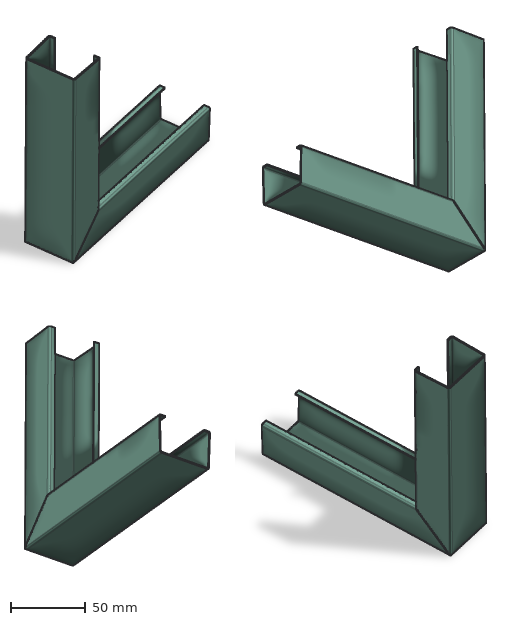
import cadquery as cq
import math

arm_length = 160.1
channel_depth = 29.7
open_width = 42.1
base_width = 40.3
sheet = 1.0
bend_radius = 1.6
lip_length = 5.0
corner_radius = 1.6
seam_gap = 0.5
tilt = 0.46


def channel_block(inset):
    """Solid trapezoid bar along +Y, moved in from the outer skin by inset."""
    section = (
        cq.Workplane("XZ")
        .polyline([
            (-base_width / 2, 0),
            (base_width / 2, 0),
            (open_width / 2, channel_depth),
            (-open_width / 2, channel_depth),
        ])
        .close()
    )
    if inset > 0:
        section = section.offset2D(-inset)
    return section.extrude(-arm_length).edges("|Y").fillet(bend_radius - inset)


def half_region():
    """Everything on the horizontal arm's side of the mitre plane y = z."""
    return (
        cq.Workplane("YZ")
        .polyline([
            (0, 0),
            (arm_length, 0),
            (arm_length, channel_depth),
            (channel_depth, channel_depth),
        ])
        .close()
        .extrude(open_width, both=True)
    )


def outer_half():
    return channel_block(0).intersect(half_region())


def inner_half():
    return channel_block(sheet).intersect(half_region())


def swap_y_and_z(body):
    """Mirror a body across the mitre plane."""
    return body.rotate((0, 0, 0), (1, 0, 0), 90).mirror("XZ")


def both_arms(half):
    return half.union(swap_y_and_z(half))


def lip_opening():
    """Slot between the two lips, along the horizontal arm."""
    slot_width = open_width - 2 * lip_length
    slot_bottom = channel_depth / 2
    return (
        cq.Workplane("XY", origin=(0, slot_bottom, slot_bottom))
        .rect(slot_width, 2 * arm_length)
        .extrude(channel_depth)
        .intersect(half_region())
    )


def seam():
    """Narrow diagonal slit through both side walls, between the bends."""
    middle = channel_depth / 2
    seam_length = math.sqrt(2) * (channel_depth - 2 * bend_radius)
    return (
        cq.Workplane("YZ")
        .center(middle, middle)
        .transformed(rotate=(0, 0, 45))
        .rect(seam_length, seam_gap)
        .extrude(open_width, both=True)
    )


def rounded_corner():
    """Envelope whose lower front edge rounds the meeting line of the bases."""
    return (
        cq.Workplane("XY")
        .box(2 * open_width, arm_length, arm_length)
        .translate((0, arm_length / 2, arm_length / 2))
        .edges("<Y and <Z")
        .fillet(corner_radius)
    )


outer = both_arms(outer_half())
outer = outer.intersect(rounded_corner())
channel = outer.cut(both_arms(inner_half())).cut(both_arms(lip_opening())).cut(seam())

result = channel.rotate((0, 0, 0), (1, 0, 0), -tilt)